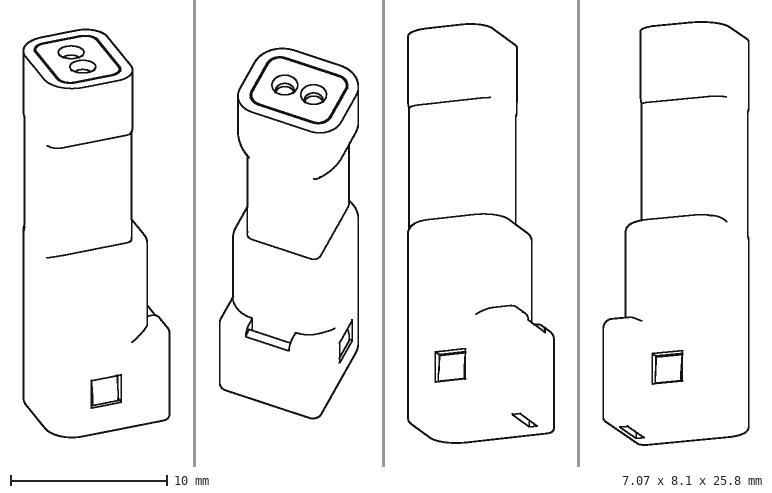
import cadquery as cq
import math


height = 25.8
width = 7.07
depth = 8.1
corner_radius = 1.94

cap_depth = 5.83
cap_back_radius = 1.5

waist_width = 5.08
waist_inset = (width - waist_width) / 2
waist_front_radius = corner_radius - waist_inset
waist_back_radius = cap_back_radius - waist_inset

flare_bottom = 21.05
flare_angle = 45.0
flare_edge_radius = 0.45

block_depth = 7.0
block_top = 13.13
block_edge_radius = 0.5
shelf_top = 6.8
shelf_radius = 0.62
base_edge_radius = 0.28

latch_slot_width = 3.02
latch_bridge_thickness = 0.57
latch_bridge_slope = 10.0
latch_bridge_inner_y = depth - latch_bridge_thickness
latch_bridge_outer_top = shelf_top - shelf_radius
latch_bridge_inner_top = latch_bridge_outer_top + latch_bridge_thickness * math.tan(
    math.radians(latch_bridge_slope)
)

cavity_width = 5.55
cavity_front = 0.8
cavity_back = 5.1
cavity_radius = 0.9
cavity_depth = 3.6
cover_gap = 0.08
cover_thickness = 0.85

wire_pitch = 2.0
wire_hole_y = 2.92
wire_hole_radius = 0.6
wire_mouth_radius = 0.83
wire_mouth_depth = 0.55

window_width = 2.06
window_height = 2.0
window_bottom = 2.1
window_depth = 0.65
window_y = 3.53
retainer_gap = 0.15
retainer_bottom_gap = 0.08
retainer_tooth_height = 0.52
retainer_tip_recess = 0.15
retainer_ramp_recess = 0.39

retainer_width = window_width - 2 * retainer_gap
retainer_bottom = window_bottom + retainer_bottom_gap
retainer_top = window_bottom + window_height - retainer_gap
retainer_tip_top = retainer_bottom + retainer_tooth_height


def box(x_size, y_min, y_max, z_min, z_max):
    """Box centred on X between the given Y and Z limits."""
    block = cq.Workplane("XY").box(x_size, y_max - y_min, z_max - z_min, centered=(True, False, False))
    return block.translate((0, y_min, z_min))


def rounded_outline(x_size, y_size, front_radius, back_radius, z):
    """Closed outline with its front edge on Y = 0 and different radii at the front and back corners."""
    half = x_size / 2
    return (
        cq.Workplane("XY", origin=(0, 0, z))
        .moveTo(front_radius - half, 0)
        .lineTo(half - front_radius, 0)
        .radiusArc((half, front_radius), -front_radius)
        .lineTo(half, y_size - back_radius)
        .radiusArc((half - back_radius, y_size), -back_radius)
        .lineTo(back_radius - half, y_size)
        .radiusArc((-half, y_size - back_radius), -back_radius)
        .lineTo(-half, front_radius)
        .radiusArc((front_radius - half, 0), -front_radius)
        .close()
    )


def waist_outline(z):
    return rounded_outline(waist_width, cap_depth, waist_front_radius, waist_back_radius, z)


def make_waist():
    """Neck that runs from inside the lower block up through the cap."""
    return waist_outline(shelf_top).extrude(height - shelf_top)


def make_cap():
    """Cap prism trimmed below by a cone-like flare that grows out of the waist."""
    cap_height = height - flare_bottom
    outline = rounded_outline(width, cap_depth, corner_radius, cap_back_radius, flare_bottom)
    prism = outline.extrude(cap_height)
    flare = waist_outline(flare_bottom).extrude(cap_height, taper=-flare_angle)
    cap = prism.intersect(flare)
    return cap.edges("|Y").edges(">X or <X").edges("<Z").fillet(flare_edge_radius)


def make_block():
    """Middle-depth prism with rounded top and bottom edges; the waist covers its front top edge."""
    block = rounded_outline(width, block_depth, corner_radius, corner_radius, 0).extrude(block_top)
    return block.faces(">Z").edges().fillet(block_edge_radius).faces("<Z").edges().fillet(base_edge_radius)


def make_shelf():
    """Full-depth lower part that carries the latch slot behind the block."""
    shelf = rounded_outline(width, depth, corner_radius, shelf_radius, 0).extrude(shelf_top)
    return shelf.faces(">Z").edges().fillet(shelf_radius).faces("<Z").edges().fillet(base_edge_radius)


def make_latch_slot():
    """Opening behind the block, cut down to the sloping top of the bridge at the back."""
    return (
        cq.Workplane("YZ")
        .moveTo(block_depth, 0)
        .lineTo(latch_bridge_inner_y, 0)
        .lineTo(latch_bridge_inner_y, latch_bridge_inner_top)
        .lineTo(depth, latch_bridge_outer_top)
        .lineTo(depth, shelf_top)
        .lineTo(block_depth, shelf_top)
        .close()
        .extrude(latch_slot_width / 2, both=True)
    )


def make_wire_cavity(clearance, z_min, z_max):
    """Prism that fills the wire-end cavity, less a clearance on every side."""
    y_size = cavity_back - cavity_front - 2 * clearance
    radius = cavity_radius - clearance
    outline = rounded_outline(cavity_width - 2 * clearance, y_size, radius, radius, z_min)
    return outline.extrude(z_max - z_min).translate((0, cavity_front + clearance, 0))


def make_windows():
    """Shallow windows in both sides of the block."""
    window = box(
        window_depth,
        window_y - window_width / 2,
        window_y + window_width / 2,
        window_bottom,
        window_bottom + window_height,
    )
    offset = (width - window_depth) / 2
    return window.translate((-offset, 0, 0)).union(window.translate((offset, 0, 0)))


def make_retainer():
    """Bar across the block, with a ramped snap tooth at each end."""
    tip = width / 2 - retainer_tip_recess
    ramp = width / 2 - retainer_ramp_recess
    return (
        cq.Workplane("XZ", origin=(0, window_y, 0))
        .moveTo(-tip, retainer_bottom)
        .lineTo(tip, retainer_bottom)
        .lineTo(tip, retainer_tip_top)
        .lineTo(ramp, retainer_top)
        .lineTo(-ramp, retainer_top)
        .lineTo(-tip, retainer_tip_top)
        .close()
        .extrude(retainer_width / 2, both=True)
    )


def make_wire_cover():
    """Plug in the mouth of the cavity, with two funnel-mouthed wire holes."""
    cover = make_wire_cavity(cover_gap, height - cover_thickness, height)
    for side in (-1, 1):
        hole_top = cq.Vector(side * wire_pitch / 2, wire_hole_y, height)
        bore = cq.Solid.makeCylinder(wire_hole_radius, cover_thickness, hole_top, cq.Vector(0, 0, -1))
        mouth = cq.Solid.makeCone(
            wire_mouth_radius, wire_hole_radius, wire_mouth_depth, hole_top, cq.Vector(0, 0, -1)
        )
        cover = cover.cut(cq.Workplane(bore)).cut(cq.Workplane(mouth))
    return cover


def make_seal():
    """Block that fills the cavity between its floor and the cover."""
    return make_wire_cavity(0, height - cavity_depth, height - cover_thickness)


def make_housing(retainer_bar):
    """Outer body with the latch slot, wire cavity, side windows and retainer passage cut out."""
    body = make_waist().union(make_cap()).union(make_block()).union(make_shelf())
    body = body.cut(make_latch_slot())
    body = body.cut(make_wire_cavity(0, height - cavity_depth, height))
    return body.cut(make_windows()).cut(retainer_bar)


retainer = make_retainer()
housing = make_housing(retainer)
wire_cover = make_wire_cover()
seal = make_seal()

result = cq.Compound.makeCompound([housing.val(), wire_cover.val(), seal.val(), retainer.val()])